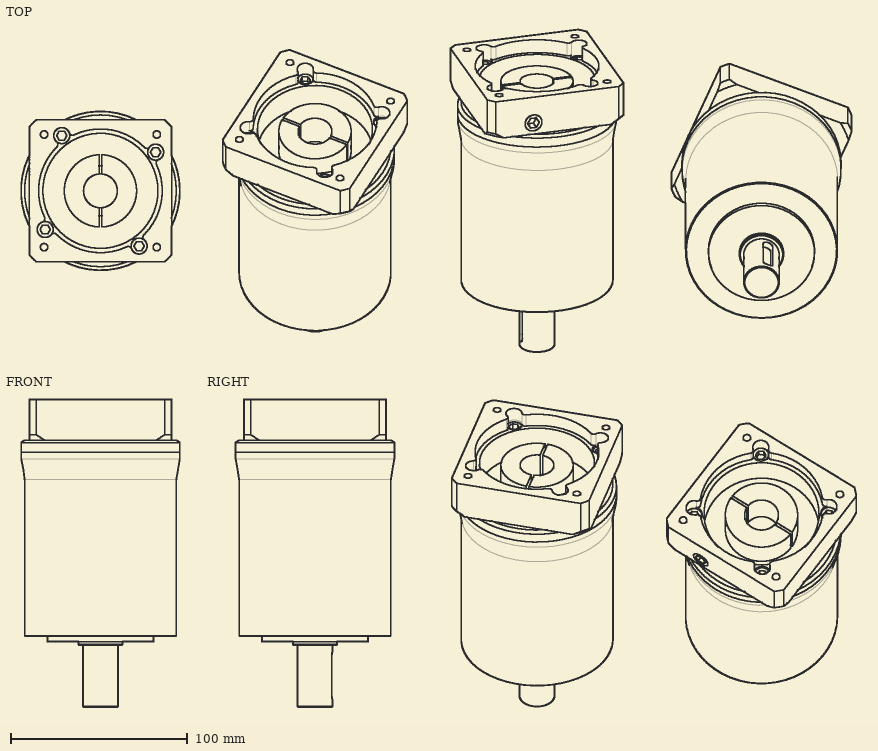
import cadquery as cq
import math


TOP = 174.0
ADAPTER_HEIGHT = 30.0
DISC_HEIGHT = 7.0
BODY_BOTTOM = 40.0
PILOT_HEIGHT = 3.0
COLLAR_HEIGHT = 2.1
RIM_HEIGHT = 3.5
TAPER_HEIGHT = 11.8
JOINT = TOP - ADAPTER_HEIGHT
DISC_TOP = JOINT + DISC_HEIGHT
TAPER_TOP = JOINT - RIM_HEIGHT
TAPER_BOTTOM = TAPER_TOP - TAPER_HEIGHT
PILOT_BOTTOM = BODY_BOTTOM - PILOT_HEIGHT
COLLAR_BOTTOM = PILOT_BOTTOM - COLLAR_HEIGHT

RIM_DIA = 90.0
BODY_DIA = 86.0
PILOT_DIA = 60.0
COLLAR_DIA = 25.0
SHAFT_DIA = 20.0
EDGE_BREAK = 0.5
KEYWAY_WIDTH = 6.0
KEYWAY_LENGTH = 28.0
KEYWAY_DEPTH = 3.5
KEYWAY_END_GAP = 3.8

SQUARE = 80.4
CORNER_RADIUS = 54.1
CORNER_BEVEL = 3.0
DISC_CHAMFER_WIDTH = 2.1
DISC_CHAMFER_HEIGHT = 1.4
REGISTER_DIA = 70.0
REGISTER_DEPTH = 8.0
BORE_DIA = 65.0
BORE_DEPTH = 27.0
TAPPED_DIA = 4.2
TAPPED_DEPTH = 10.5
TAPPED_SPACING = 63.7
DRILL_POINT_ANGLE = 118.0
SCREW_COUNT = 4
SCREW_CIRCLE_RADIUS = 38.1
SCREW_FIRST_ANGLE = 35.0
SCREW_POCKET_DIA = 9.0
SCREW_POCKET_DEPTH = 9.5
SCREW_POCKET_BLEND = 2.0
SCREW_HEX_FLATS = 5.0
SCREW_HEX_DEPTH = 4.0

HUB_DIA = 40.9
HUB_TOP_GAP = 9.5
HUB_BORE_DIA = 19.1
HUB_SPIGOT_DIA = 28.2
HUB_SLOT_WIDTH = 1.5
HUB_SLOT_OVERCUT = 1.7

PLUG_DIA = 10.0
PLUG_Y = 14.1
PLUG_DROP = 16.0
PLUG_THICKNESS = 8.0
PLUG_HEX_FLATS = 6.0
PLUG_HEX_DEPTH = 6.0


def cylinder(diameter, bottom, top):
    return cq.Workplane("XY").workplane(offset=bottom).circle(diameter / 2).extrude(top - bottom)


def hex_corners(flats):
    """Across-corners size of a hexagon from its across-flats size."""
    return flats / math.cos(math.pi / 6)


def make_gearbox():
    """Turned housing with pilot, collar and keyed output shaft."""
    rim = cylinder(RIM_DIA, TAPER_TOP, JOINT)
    taper = (
        cq.Workplane("XY")
        .workplane(offset=TAPER_BOTTOM)
        .circle(BODY_DIA / 2)
        .workplane(offset=TAPER_HEIGHT)
        .circle(RIM_DIA / 2)
        .loft()
    )
    barrel = cylinder(BODY_DIA, BODY_BOTTOM, TAPER_BOTTOM).faces("<Z").chamfer(EDGE_BREAK)
    pilot = cylinder(PILOT_DIA, PILOT_BOTTOM, BODY_BOTTOM)
    collar = cylinder(COLLAR_DIA, COLLAR_BOTTOM, PILOT_BOTTOM).faces("<Z").chamfer(EDGE_BREAK)
    shaft = cylinder(SHAFT_DIA, 0, COLLAR_BOTTOM).faces("<Z").chamfer(EDGE_BREAK)
    keyway = (
        cq.Workplane("XZ", origin=(0, SHAFT_DIA / 2, KEYWAY_END_GAP + KEYWAY_LENGTH / 2))
        .slot2D(KEYWAY_LENGTH, KEYWAY_WIDTH, 90)
        .extrude(KEYWAY_DEPTH)
    )
    return rim.union(taper).union(barrel).union(pilot).union(collar).union(shaft).cut(keyway)


def corner_envelope():
    """Turned blank that rounds the plate corners and bevels them underneath."""
    foot_radius = CORNER_RADIUS - CORNER_BEVEL
    bevel_top = DISC_TOP + CORNER_BEVEL
    return (
        cq.Workplane("XZ")
        .polyline(
            [
                (0, DISC_TOP),
                (foot_radius, DISC_TOP),
                (CORNER_RADIUS, bevel_top),
                (CORNER_RADIUS, TOP),
                (0, TOP),
            ]
        )
        .close()
        .revolve(360, (0, 0), (0, 1))
    )


def adapter_blank():
    """Square plate with turned corners on a chamfered round foot."""
    plate = (
        cq.Workplane("XY")
        .workplane(offset=DISC_TOP)
        .rect(SQUARE, SQUARE)
        .extrude(TOP - DISC_TOP)
        .intersect(corner_envelope())
    )
    disc = (
        cylinder(RIM_DIA, JOINT, DISC_TOP)
        .faces(">Z")
        .edges()
        .chamfer(DISC_CHAMFER_HEIGHT, DISC_CHAMFER_WIDTH)
    )
    return plate.union(disc)


def on_screw_circle(plane):
    return plane.polarArray(SCREW_CIRCLE_RADIUS, SCREW_FIRST_ANGLE, 360, SCREW_COUNT, rotate=False)


def motor_recess():
    """Register, its four blended screw pockets and their hex sockets, as one cutter."""
    register_bottom = TOP - REGISTER_DEPTH
    pocket_bottom = TOP - SCREW_POCKET_DEPTH
    upper_pockets = (
        on_screw_circle(cq.Workplane("XY").workplane(offset=register_bottom))
        .circle(SCREW_POCKET_DIA / 2)
        .extrude(REGISTER_DEPTH)
    )
    recess = cylinder(REGISTER_DIA, register_bottom, TOP).union(upper_pockets)
    necks = cq.selectors.BoxSelector(
        (-SQUARE, -SQUARE, register_bottom + EDGE_BREAK), (SQUARE, SQUARE, TOP - EDGE_BREAK)
    )
    recess = recess.edges("|Z").edges(necks).fillet(SCREW_POCKET_BLEND)
    lower_pockets = (
        on_screw_circle(cq.Workplane("XY").workplane(offset=pocket_bottom))
        .circle(SCREW_POCKET_DIA / 2)
        .extrude(SCREW_POCKET_DEPTH - REGISTER_DEPTH)
    )
    sockets = (
        on_screw_circle(cq.Workplane("XY").workplane(offset=pocket_bottom - SCREW_HEX_DEPTH))
        .polygon(6, hex_corners(SCREW_HEX_FLATS))
        .extrude(SCREW_HEX_DEPTH)
    )
    return recess.union(lower_pockets).union(sockets)


def tapped_holes():
    """Four blind holes with drill points, as one cutter."""
    radius = TAPPED_DIA / 2
    tip = radius / math.tan(math.radians(DRILL_POINT_ANGLE / 2))
    drill = (
        cq.Workplane("XZ")
        .polyline([(0, 0), (radius, 0), (radius, -TAPPED_DEPTH), (0, -TAPPED_DEPTH - tip)])
        .close()
        .revolve(360, (0, 0), (0, 1))
        .translate((0, 0, TOP))
    )
    spots = cq.Workplane("XY").rect(TAPPED_SPACING, TAPPED_SPACING, forConstruction=True).vertices()
    return spots.eachpoint(lambda spot: drill.val().moved(spot))


def side_cylinder(length):
    """Cylinder on the plug axis, running inward from the -X face."""
    return (
        cq.Workplane("YZ", origin=(-SQUARE / 2, PLUG_Y, TOP - PLUG_DROP))
        .circle(PLUG_DIA / 2)
        .extrude(length)
    )


def make_adapter():
    """Motor adapter with its recess, bore, hub seat, tapped holes and plug hole."""
    bore = cylinder(BORE_DIA, TOP - BORE_DEPTH, TOP)
    hub_seat = cylinder(HUB_SPIGOT_DIA, JOINT, TOP)
    adapter = adapter_blank().cut(motor_recess()).cut(bore).cut(hub_seat).cut(tapped_holes())
    return adapter.cut(side_cylinder(PLUG_THICKNESS))


def make_hub():
    """Bored clamp hub on a spigot; the slot along Y stops short of the spigot's foot."""
    hub_top = TOP - HUB_TOP_GAP
    floor = TOP - BORE_DEPTH
    head = cylinder(HUB_DIA, floor, hub_top)
    spigot = cylinder(HUB_SPIGOT_DIA, JOINT, floor)
    bore = cylinder(HUB_BORE_DIA, JOINT, hub_top)
    slot_bottom = floor - HUB_SLOT_OVERCUT
    slot = (
        cq.Workplane("XY")
        .workplane(offset=slot_bottom)
        .rect(HUB_SLOT_WIDTH, HUB_DIA)
        .extrude(hub_top - slot_bottom)
    )
    return head.union(spigot).cut(bore).cut(slot)


def make_plug():
    """Side hole plug with a blind hexagon socket."""
    plug = side_cylinder(PLUG_THICKNESS)
    hexagon = (
        cq.Workplane("YZ", origin=(-SQUARE / 2, PLUG_Y, TOP - PLUG_DROP))
        .polygon(6, hex_corners(PLUG_HEX_FLATS))
        .extrude(PLUG_HEX_DEPTH)
    )
    return plug.cut(hexagon)


gearbox = make_gearbox()
adapter = make_adapter()
hub = make_hub()
plug = make_plug()

result = cq.Compound.makeCompound([gearbox.val(), adapter.val(), hub.val(), plug.val()])